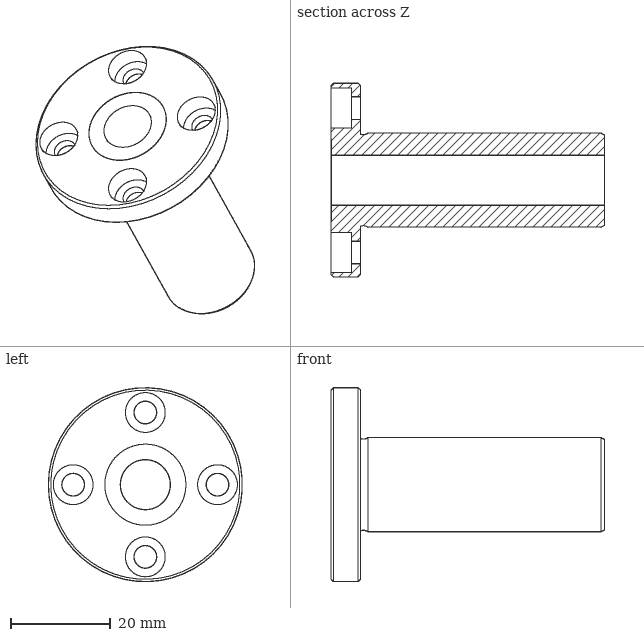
import cadquery as cq

total_length = 55.0
body_diameter = 19.0
bore_diameter = 10.0
body_end_length = 0.75
body_end_drop = 0.4

flange_diameter = 39.0
flange_thickness = 6.0
flange_chamfer = 0.5

groove_width = 1.45
groove_depth = 0.3
groove_root_drop = 0.2

bolt_circle_diameter = 29.0
bolt_count = 4
bolt_hole_diameter = 4.5
counterbore_diameter = 8.0
counterbore_depth = 4.1

seal_diameter = 16.3
seal_recess_depth = 0.1


def cylinder(diameter, start, length):
    """Solid cylinder on the X axis, beginning at X = start."""
    return cq.Workplane("YZ", origin=(start, 0, 0)).circle(diameter / 2).extrude(length)


def make_flange():
    return cylinder(flange_diameter, 0, flange_thickness).edges().chamfer(flange_chamfer)


def make_body():
    """Round body, revolved from a half profile with the relief groove and the tapered free end."""
    radius = body_diameter / 2
    groove_end = flange_thickness + groove_width
    groove_middle = flange_thickness + groove_width / 2
    profile = (
        cq.Workplane("XY")
        .lineTo(0, radius - groove_root_drop)
        .lineTo(flange_thickness, radius - groove_root_drop)
        .threePointArc((groove_middle, radius - groove_depth), (groove_end, radius))
        .lineTo(total_length - body_end_length, radius)
        .lineTo(total_length, radius - body_end_drop)
        .lineTo(total_length, 0)
        .close()
    )
    return profile.revolve(360, (0, 0, 0), (1, 0, 0))


def bolt_cutters(diameter, depth):
    return (
        cq.Workplane("YZ")
        .polarArray(bolt_circle_diameter / 2, 0, 360, bolt_count)
        .circle(diameter / 2)
        .extrude(depth)
    )


result = (
    make_flange()
    .union(make_body())
    .cut(cylinder(bore_diameter, 0, total_length))
    .cut(cylinder(seal_diameter, 0, seal_recess_depth))
    .cut(bolt_cutters(bolt_hole_diameter, flange_thickness))
    .cut(bolt_cutters(counterbore_diameter, counterbore_depth))
)